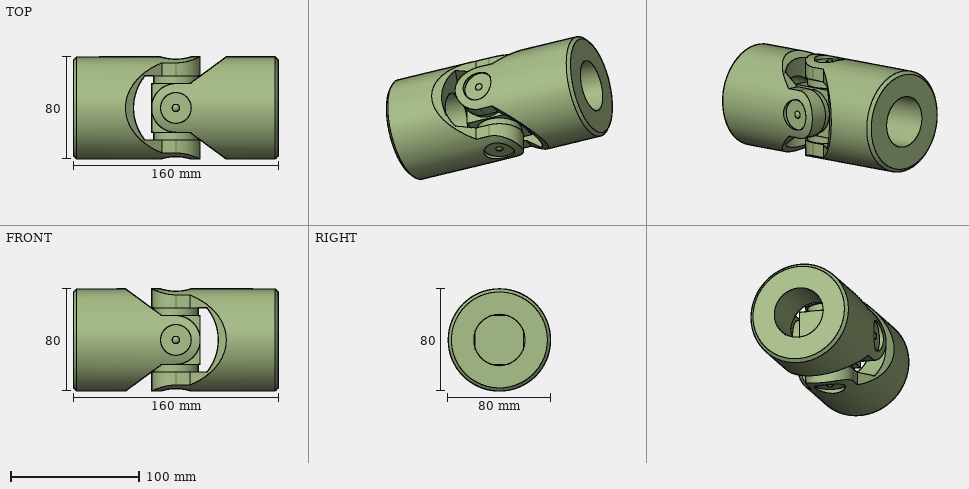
import cadquery as cq

joint_length = 160
yoke_diameter = 80
end_chamfer = 2.5
bore_diameter = 40
arm_half_width = 19
taper_start = 10.9
taper_end = 39.4
fork_gap = 50
fork_floor_middle = 43
fork_floor_side = 31.7

cube_size = 2 * arm_half_width
boss_diameter = 35
pin_diameter = 24
pin_reach = 36.8
center_mark_diameter = 5.76
center_mark_height = 1.4

half_length = joint_length / 2
yoke_radius = yoke_diameter / 2


def cylinder_along_z(diameter, bottom, top):
    return cq.Workplane("XY").workplane(offset=bottom).circle(diameter / 2).extrude(top - bottom)


def yoke_outline():
    """Prism along Z: rounded arm tip, parallel arm sides, then a taper out to the full width."""
    return (
        cq.Workplane("XY")
        .workplane(offset=-yoke_radius)
        .moveTo(0, arm_half_width)
        .threePointArc((-arm_half_width, 0), (0, -arm_half_width))
        .lineTo(taper_start, -arm_half_width)
        .lineTo(taper_end, -yoke_radius)
        .lineTo(half_length, -yoke_radius)
        .lineTo(half_length, yoke_radius)
        .lineTo(taper_end, yoke_radius)
        .lineTo(taper_start, arm_half_width)
        .close()
        .extrude(yoke_diameter)
    )


def fork_opening():
    """Space between the arms: flat arm faces, and a floor of two cones about the Y axis."""
    swept_clearance = (
        cq.Workplane("XY")
        .moveTo(0, -yoke_radius)
        .lineTo(fork_floor_side, -yoke_radius)
        .lineTo(fork_floor_middle, 0)
        .lineTo(fork_floor_side, yoke_radius)
        .lineTo(0, yoke_radius)
        .close()
        .revolve(360, (0, 0, 0), (0, 1, 0))
    )
    return swept_clearance.intersect(cq.Workplane("XY").box(joint_length, joint_length, fork_gap))


def make_yoke():
    """Yoke with its hub towards +X and its arms at +Z and -Z, pierced by the pins."""
    barrel = (
        cq.Workplane("YZ")
        .workplane(offset=-half_length)
        .circle(yoke_radius)
        .extrude(joint_length)
        .faces(">X")
        .chamfer(end_chamfer)
    )
    bore = cq.Workplane("YZ").circle(bore_diameter / 2).extrude(half_length)
    pin_hole = cylinder_along_z(pin_diameter, -yoke_radius, yoke_radius)
    return barrel.intersect(yoke_outline()).cut(fork_opening()).cut(bore).cut(pin_hole)


def make_center_mark():
    """Spherical dome at the middle of the +Z pin face."""
    base_radius = center_mark_diameter / 2
    sphere_radius = (base_radius**2 + center_mark_height**2) / (2 * center_mark_height)
    sphere_center = pin_reach + center_mark_height - sphere_radius
    sphere = cq.Workplane("XY").sphere(sphere_radius).translate((0, 0, sphere_center))
    return sphere.intersect(cylinder_along_z(2 * sphere_radius, pin_reach, yoke_radius))


def make_cross():
    """Cube with a boss, a pin and a domed mark on its +Z, -Z, +Y and -Y sides."""
    cross = cq.Workplane("XY").box(cube_size, cube_size, cube_size)
    trunnion = (
        cylinder_along_z(boss_diameter, 0, fork_gap / 2)
        .union(cylinder_along_z(pin_diameter, 0, pin_reach))
        .union(make_center_mark())
    )
    for quarter_turn in range(4):
        cross = cross.union(trunnion.rotate((0, 0, 0), (1, 0, 0), 90 * quarter_turn))
    return cross


right_yoke = make_yoke()
left_yoke = right_yoke.rotate((0, 0, 0), (0, 0, 1), 180).rotate((0, 0, 0), (1, 0, 0), 90)
cross = make_cross()

result = cq.Compound.makeCompound([left_yoke.val(), right_yoke.val(), cross.val()])